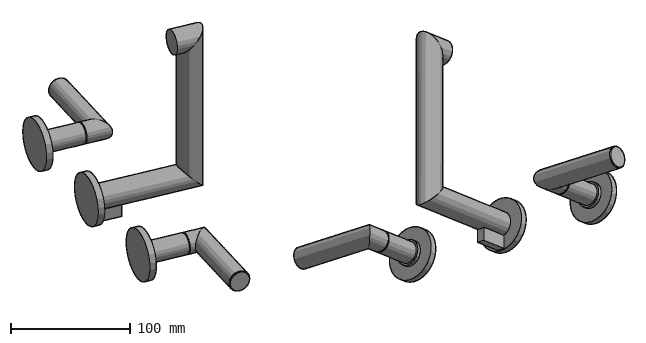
import cadquery as cq

front_y = 0.0

flange_diameter = 47.0
flange_thickness = 6.0

spout_diameter = 22.5
spout_radius = spout_diameter / 2
overall_depth = 107.0
overall_height = 168.0
outlet_length = 27.7
riser_y = front_y + overall_depth - spout_radius
outlet_z = overall_height - flange_diameter / 2 - spout_radius

block_width = 7.0
block_length = 25.2
block_bottom_gap = 1.0
block_bottom_z = -flange_diameter / 2 + block_bottom_gap

overall_width = 355.5
lever_spacing = 202.7
lever_diameter = 19.2
lever_post_x = lever_spacing / 2
lever_tip_x = overall_width / 2
lever_arm_y = 58.3
collar_diameter = 22.8
collar_length = 3.2
lever_tip_chamfer = 0.7

groove_y = 43.5
groove_width = 0.7
groove_depth = 0.5


def post_disc(x, diameter, start_y, length):
    """Cylinder along +Y, centred at the given X and at Z = 0."""
    return (
        cq.Workplane("XZ", origin=(x, start_y, 0))
        .circle(diameter / 2)
        .extrude(-length)
    )


def mitred_tube(path, x, diameter):
    """Solid round bar that starts along +Y and turns square mitred corners."""
    return (
        cq.Workplane("XZ", origin=(x, front_y, 0))
        .circle(diameter / 2)
        .sweep(path, transition="right")
    )


def make_spout():
    path = (
        cq.Workplane("YZ")
        .moveTo(front_y, 0)
        .lineTo(riser_y, 0)
        .lineTo(riser_y, outlet_z)
        .lineTo(front_y + overall_depth - outlet_length, outlet_z)
    )
    flange = post_disc(0, flange_diameter, front_y, flange_thickness)
    block = cq.Workplane("XY", origin=(0, front_y + flange_thickness, block_bottom_z)).box(
        block_width, block_length, -block_bottom_z, centered=(True, False, False)
    )
    return mitred_tube(path, 0, spout_diameter).union(flange).union(block)


def make_lever(side):
    """Lever on the given side: -1 for -X, +1 for +X. The arm points outward."""
    post_x = side * lever_post_x
    path = (
        cq.Workplane("XY")
        .moveTo(post_x, front_y)
        .lineTo(post_x, lever_arm_y)
        .lineTo(side * lever_tip_x, lever_arm_y)
    )
    flange = post_disc(post_x, flange_diameter, front_y, flange_thickness)
    collar = post_disc(post_x, collar_diameter, front_y + flange_thickness, collar_length)
    groove = post_disc(post_x, lever_diameter, groove_y, groove_width).cut(
        post_disc(post_x, lever_diameter - 2 * groove_depth, groove_y, groove_width)
    )
    tip_face = ">X" if side > 0 else "<X"
    bar = mitred_tube(path, post_x, lever_diameter).faces(tip_face).chamfer(lever_tip_chamfer)
    return bar.cut(groove).union(flange).union(collar)


spout = make_spout()
levers = [make_lever(side) for side in (-1, 1)]

result = cq.Compound.makeCompound([spout.val(), *[lever.val() for lever in levers]])